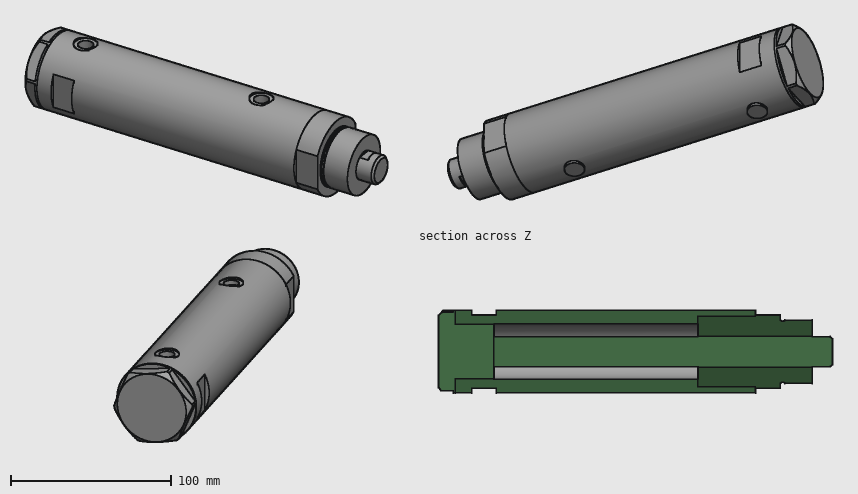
import cadquery as cq
import math

OVERALL_LENGTH = 246.0
OVERALL_HEIGHT = 53.1

HEX_END = 9.0
CAP_FLANGE_END = 10.5
BARREL_END = 198.0
GLAND_SHOULDER_END = 213.5
UNDERCUT_END = 215.5
GLAND_END = 233.5

BODY_RADIUS = 52.0 / 2
ACROSS_FLATS = 46.0

BARREL_FLAT_START = 21.0
BARREL_FLAT_END = 36.0
BORE_RADIUS = 17.2
COUNTERBORE_RADIUS = 22.0

PORT_STATIONS = (30.5, 158.7)
PORT_RADIUS = 5.0
SPOTFACE_RADIUS = 7.6
SPOTFACE_DEPTH = 1.2

PAD_STATIONS = (35.0, 162.0)
PAD_RADIUS = 6.5
PAD_BOTTOM = OVERALL_HEIGHT - BODY_RADIUS

HEX_ACROSS_FLATS = 45.8
HEX_TILT = -8.0
CAP_FACE_RADIUS = 22.6
CAP_CHAMFER_LENGTH = 3.0
SPIGOT_END = 34.7

GLAND_SPIGOT_START = 162.0
UNDERCUT_RADIUS = 19.2
COLLAR_RADIUS = 20.0
COLLAR_CHAMFER = COLLAR_RADIUS - UNDERCUT_RADIUS
UNDERCUT_ROOT_CHAMFER = 0.7

SHAFT_RADIUS = 9.5
SHAFT_CHAMFER = 1.5
SHAFT_ACROSS_FLATS = 16.2
SHAFT_FLAT_END = 239.5

Y_AXIS = cq.Vector(0, 1, 0)
Z_AXIS = cq.Vector(0, 0, 1)


def rod_along_x(radius, start, end):
    """Solid cylinder on the X axis between two stations."""
    return cq.Workplane("YZ", origin=(start, 0, 0)).circle(radius).extrude(end - start)


def cylinder_along_z(radius, station, bottom, top):
    """Solid upright cylinder at a station on the X axis."""
    return cq.Workplane("XY", origin=(station, 0, bottom)).circle(radius).extrude(top - bottom)


def flat_cutters(start, end, across, axis):
    """Two blocks that leave parallel flats, facing along the given axis direction."""
    block_size = 2 * BODY_RADIUS
    length = end - start
    offset = axis * ((across + block_size) / 2)
    middle = cq.Vector(start + length / 2, 0, 0)
    block = cq.Workplane("XY").box(length, block_size, block_size)
    return block.translate(middle + offset).union(block.translate(middle - offset))


def make_cap():
    """Chamfered hexagon head with a round flange and a spigot inside the barrel."""
    corner_diameter = HEX_ACROSS_FLATS / math.cos(math.pi / 6)
    hexagon = cq.Workplane("YZ").polygon(6, corner_diameter).extrude(HEX_END)
    hexagon = hexagon.rotate((0, 0, 0), (1, 0, 0), HEX_TILT)
    turned_blank = (
        cq.Workplane("XY")
        .moveTo(0, 0)
        .lineTo(0, CAP_FACE_RADIUS)
        .lineTo(CAP_CHAMFER_LENGTH, BODY_RADIUS)
        .lineTo(HEX_END, BODY_RADIUS)
        .lineTo(HEX_END, 0)
        .close()
        .revolve(360, (0, 0, 0), (1, 0, 0))
    )
    head = hexagon.intersect(turned_blank)
    flange = rod_along_x(BODY_RADIUS, HEX_END, CAP_FLANGE_END)
    spigot = rod_along_x(BORE_RADIUS, CAP_FLANGE_END, SPIGOT_END)
    return head.union(flange).union(spigot)


def make_barrel():
    """Tube with a counterbored bore, two wrench flats, two top ports and two pads underneath."""
    barrel = rod_along_x(BODY_RADIUS, CAP_FLANGE_END, BARREL_END)
    for station in PAD_STATIONS:
        barrel = barrel.union(cylinder_along_z(PAD_RADIUS, station, -PAD_BOTTOM, 0))
    barrel = barrel.cut(flat_cutters(BARREL_FLAT_START, BARREL_FLAT_END, ACROSS_FLATS, Y_AXIS))
    barrel = barrel.cut(rod_along_x(BORE_RADIUS, CAP_FLANGE_END, BARREL_END))
    barrel = barrel.cut(rod_along_x(COUNTERBORE_RADIUS, GLAND_SPIGOT_START, BARREL_END))
    spotface_floor = BODY_RADIUS - SPOTFACE_DEPTH
    for station in PORT_STATIONS:
        barrel = barrel.cut(cylinder_along_z(SPOTFACE_RADIUS, station, spotface_floor, BODY_RADIUS))
        barrel = barrel.cut(cylinder_along_z(PORT_RADIUS, station, 0, BODY_RADIUS))
    return barrel


def make_undercut():
    """Neck between shoulder and collar, flaring out in a small cone at the shoulder."""
    root_radius = UNDERCUT_RADIUS + UNDERCUT_ROOT_CHAMFER
    return (
        cq.Workplane("XY")
        .moveTo(GLAND_SHOULDER_END, 0)
        .lineTo(GLAND_SHOULDER_END, root_radius)
        .lineTo(GLAND_SHOULDER_END + UNDERCUT_ROOT_CHAMFER, UNDERCUT_RADIUS)
        .lineTo(UNDERCUT_END, UNDERCUT_RADIUS)
        .lineTo(UNDERCUT_END, 0)
        .close()
        .revolve(360, (0, 0, 0), (1, 0, 0))
    )


def make_gland():
    """Bored end piece: spigot in the barrel, flatted shoulder, undercut and collar."""
    shoulder = rod_along_x(BODY_RADIUS, BARREL_END, GLAND_SHOULDER_END)
    shoulder = shoulder.cut(flat_cutters(BARREL_END, GLAND_SHOULDER_END, ACROSS_FLATS, Y_AXIS))
    spigot = rod_along_x(COUNTERBORE_RADIUS, GLAND_SPIGOT_START, BARREL_END)
    undercut = make_undercut()
    collar = rod_along_x(COLLAR_RADIUS, UNDERCUT_END, GLAND_END).faces("<X").chamfer(COLLAR_CHAMFER)
    gland = shoulder.union(spigot).union(undercut).union(collar)
    return gland.cut(rod_along_x(SHAFT_RADIUS, GLAND_SPIGOT_START, GLAND_END))


def make_shaft():
    """Round shaft through the gland, with a chamfered end and two flats outside the collar."""
    shaft = rod_along_x(SHAFT_RADIUS, SPIGOT_END, OVERALL_LENGTH).faces(">X").chamfer(SHAFT_CHAMFER)
    return shaft.cut(flat_cutters(GLAND_END, SHAFT_FLAT_END, SHAFT_ACROSS_FLATS, Z_AXIS))


cap = make_cap()
barrel = make_barrel()
gland = make_gland()
shaft = make_shaft()

result = cq.Compound.makeCompound([cap.val(), barrel.val(), gland.val(), shaft.val()])